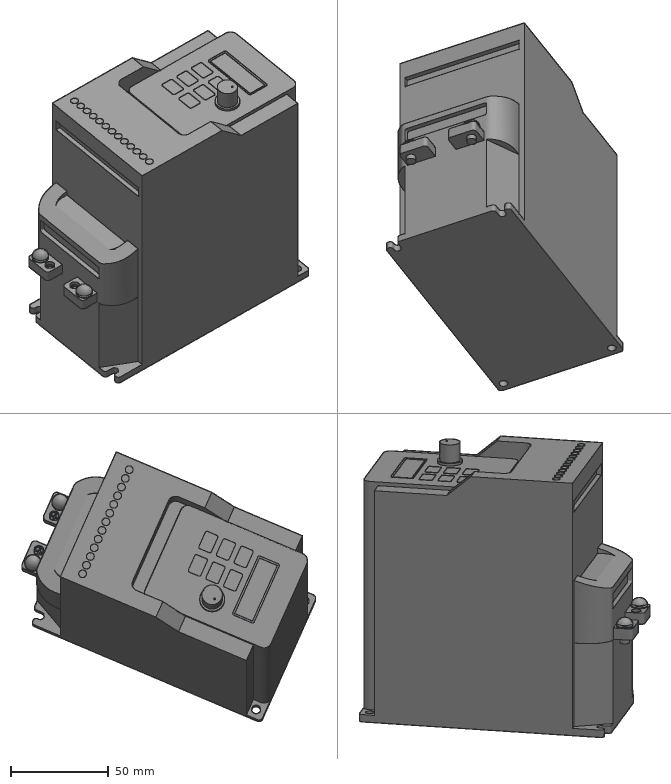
import cadquery as cq
import math


PLATE_WIDTH = 72.0
PLATE_FRONT_Y = -131.0
PLATE_THICKNESS = 4.0
PLATE_REAR_RADIUS = 2.0
PRONG_END_Y = -128.8
PRONG_RADIUS = 1.75
MOUNT_HOLE_DIAMETER = 4.5
MOUNT_HOLE_X = 31.3
MOUNT_HOLE_Y = -4.8
MOUNT_SLOT_WIDTH = 4.0
MOUNT_SLOT_X = 30.3
MOUNT_SLOT_CENTRE_Y = -126.3

BODY_REAR_Y = -8.2
BODY_FRONT_Y = -112.6
BODY_HEIGHT = 136.0
SHOULDER_HEIGHT = 125.0
SLOPE_FOOT_Y = -46.3
SLOPE_CREST_Y = -59.0

PANEL_WIDTH = 54.0
PANEL_LENGTH = 70.8
PANEL_HEIGHT = 127.0
PANEL_RADIUS = 4.0
PANEL_RECESS_LENGTH = 77.6
ENGRAVING_DEPTH = 0.2
DISPLAY_WIDTH = 34.0
DISPLAY_LENGTH = 12.0
DISPLAY_RADIUS = 1.0
DISPLAY_BORDER = 1.0
DISPLAY_Y = -18.5
BUTTON_WIDTH = 10.0
BUTTON_LENGTH = 7.0
BUTTON_RADIUS = 1.0
BUTTON_FIRST = (-13.2, -31.2)
BUTTON_PITCH_X = 13.5
BUTTON_PITCH_Y = 9.9
BUTTON_COLUMNS = 2
BUTTON_ROWS = 3

KNOB_CENTRE = (14.0, -37.0)
KNOB_DIAMETER = 10.5
KNOB_TOP = 138.0
KNOB_FLANGE_DIAMETER = 12.8
KNOB_FLANGE_HEIGHT = 1.3
KNOB_DOT_DIAMETER = 0.83
KNOB_DOT_OFFSET = (1.5, 2.0)
KNOB_DOT_DEPTH = 0.2

VENT_DIAMETER = 4.0
VENT_PITCH = 5.0
VENT_COUNT = 13
VENT_Y = -102.7

SLOT_DEPTH = 2.5
UPPER_SLOT_WIDTH = 66.0
UPPER_SLOT_BOTTOM = 119.5
UPPER_SLOT_HEIGHT = 6.0
LOWER_SLOT_WIDTH = 46.9
LOWER_SLOT_BOTTOM = 65.8
LOWER_SLOT_HEIGHT = 8.0
LOWER_SLOT_RADIUS = 1.0

COVER_HALF_WIDTH = 32.9
COVER_FRONT_HALF_WIDTH = 23.5
COVER_BOTTOM = 49.0
COVER_REAR_TOP = 82.7
COVER_FRONT_TOP = 77.5
COVER_FLANK_END_Y = -115.8
COVER_ARC_START = (32.8, -117.6)
COVER_ARC_END = (28.05, -128.3)
COVER_NOSE_START = (26.7, -129.5)
COVER_NOSE_MIDDLE = (25.2, -130.6)
COVER_RECESS_WIDTH = 48.4
COVER_RECESS_FLOOR = 80.0
COVER_RECESS_RADIUS = 9.4

TERMINAL_X = 14.0
TERMINAL_WIDTH = 16.0
TERMINAL_END_Y = -141.0
TERMINAL_HEIGHT = 6.0
TERMINAL_RADIUS = 2.0
SCREW_X = 17.5
SCREW_Y = (PLATE_FRONT_Y + TERMINAL_END_Y) / 2
SHANK_DIAMETER = 4.99
SHANK_LENGTH = 2.8
WASHER_DIAMETER = 8.5
WASHER_THICKNESS = 0.5
NECK_DIAMETER = 4.25
NECK_LENGTH = 1.1
HEAD_DIAMETER = 8.5
HEAD_HEIGHT = 3.0
CLAMP_HOLE_X = 10.0
CLAMP_HOLE_DIAMETER = 4.99
CLAMP_HOLE_DEPTH = 2.0
CLAMP_BORE_DIAMETER = 4.45
CLAMP_BORE_DEPTH = 3.0
CROSS_LENGTH = 4.0
CROSS_WIDTH = 0.8
CROSS_DEPTH = 2.0

SIDES = (-1, 1)


def block(x_size, y_rear, y_front, z_bottom, z_top, x_centre=0.0):
    """Box centred on x_centre between the given Y and Z limits."""
    return cq.Workplane("XY").box(
        x_size, y_rear - y_front, z_top - z_bottom, centered=(True, False, False)
    ).translate((x_centre, y_front, z_bottom))


def cylinder(diameter, centre, z_bottom, height):
    """Upright cylinder standing at z_bottom."""
    return cq.Workplane("XY").workplane(offset=z_bottom).center(*centre).circle(diameter / 2).extrude(height)


def make_plate():
    """Mounting plate with two rear holes and two open front slots."""
    plate = block(PLATE_WIDTH, 0, PLATE_FRONT_Y, 0, PLATE_THICKNESS)
    plate = plate.edges("|Z and >Y").fillet(PLATE_REAR_RADIUS)
    slot_outer_x = MOUNT_SLOT_X + MOUNT_SLOT_WIDTH / 2
    slot_inner_x = MOUNT_SLOT_X - MOUNT_SLOT_WIDTH / 2
    prong_width = PLATE_WIDTH / 2 - slot_outer_x
    for side in SIDES:
        prong_x = side * (PLATE_WIDTH + 2 * slot_outer_x) / 4
        plate = plate.cut(block(prong_width, PRONG_END_Y, PLATE_FRONT_Y, 0, PLATE_THICKNESS, prong_x))
        slot_x = side * MOUNT_SLOT_X
        slot = block(MOUNT_SLOT_WIDTH, MOUNT_SLOT_CENTRE_Y, PLATE_FRONT_Y, 0, PLATE_THICKNESS, slot_x)
        slot_end = cylinder(MOUNT_SLOT_WIDTH, (slot_x, MOUNT_SLOT_CENTRE_Y), 0, PLATE_THICKNESS)
        hole = cylinder(MOUNT_HOLE_DIAMETER, (side * MOUNT_HOLE_X, MOUNT_HOLE_Y), 0, PLATE_THICKNESS)
        plate = plate.cut(slot).cut(slot_end).cut(hole)
        corners = (
            (side * PLATE_WIDTH / 2, PRONG_END_Y),
            (side * slot_outer_x, PRONG_END_Y),
            (side * slot_inner_x, PLATE_FRONT_Y),
        )
        for x, y in corners:
            edge = cq.selectors.NearestToPointSelector((x, y, PLATE_THICKNESS / 2))
            plate = plate.edges("|Z").edges(edge).fillet(PRONG_RADIUS)
    return plate


def make_body():
    """Main housing: side profile with a low rear shoulder and a ramp up to the top."""
    profile = [
        (BODY_REAR_Y, 0),
        (BODY_REAR_Y, SHOULDER_HEIGHT),
        (SLOPE_FOOT_Y, SHOULDER_HEIGHT),
        (SLOPE_CREST_Y, BODY_HEIGHT),
        (BODY_FRONT_Y, BODY_HEIGHT),
        (BODY_FRONT_Y, 0),
    ]
    return cq.Workplane("YZ").polyline(profile).close().extrude(PLATE_WIDTH / 2, both=True)


def add_panel(body):
    """Sink a recess into the top and stand the control panel block in it."""
    recess = block(PANEL_WIDTH, 0, -PANEL_RECESS_LENGTH, SHOULDER_HEIGHT, BODY_HEIGHT)
    recess = recess.edges("|Z and <Y").fillet(PANEL_RADIUS)
    panel = block(PANEL_WIDTH, 0, -PANEL_LENGTH, 0, PANEL_HEIGHT).edges("|Z").fillet(PANEL_RADIUS)
    return body.cut(recess).union(panel)


def panel_engraving(width, length, x, y, depth, radius=0.0):
    """Shallow rectangular pocket cutter in the panel surface, optionally with round corners."""
    cutter = block(width, y + length / 2, y - length / 2, PANEL_HEIGHT - depth, PANEL_HEIGHT, x)
    if radius > 0:
        cutter = cutter.edges("|Z").fillet(radius)
    return cutter


def engrave_panel(body):
    """Stepped display window and the grid of buttons."""
    body = body.cut(panel_engraving(
        DISPLAY_WIDTH, DISPLAY_LENGTH, 0, DISPLAY_Y, ENGRAVING_DEPTH, DISPLAY_RADIUS))
    body = body.cut(panel_engraving(
        DISPLAY_WIDTH - 2 * DISPLAY_BORDER, DISPLAY_LENGTH - 2 * DISPLAY_BORDER,
        0, DISPLAY_Y, 2 * ENGRAVING_DEPTH))
    for column in range(BUTTON_COLUMNS):
        for row in range(BUTTON_ROWS):
            x = BUTTON_FIRST[0] + column * BUTTON_PITCH_X
            y = BUTTON_FIRST[1] - row * BUTTON_PITCH_Y
            body = body.cut(panel_engraving(
                BUTTON_WIDTH, BUTTON_LENGTH, x, y, ENGRAVING_DEPTH, BUTTON_RADIUS))
    return body


def make_knob():
    """Flanged round knob with a small index dot on its top."""
    flange = cylinder(KNOB_FLANGE_DIAMETER, KNOB_CENTRE, PANEL_HEIGHT, KNOB_FLANGE_HEIGHT)
    knob = cylinder(KNOB_DIAMETER, KNOB_CENTRE, PANEL_HEIGHT, KNOB_TOP - PANEL_HEIGHT)
    dot_centre = (KNOB_CENTRE[0] + KNOB_DOT_OFFSET[0], KNOB_CENTRE[1] + KNOB_DOT_OFFSET[1])
    dot = cylinder(KNOB_DOT_DIAMETER, dot_centre, KNOB_TOP - KNOB_DOT_DEPTH, KNOB_DOT_DEPTH)
    return flange.union(knob).cut(dot)


def cut_vents(body):
    """Row of shallow round marks along the front of the top face."""
    first_x = -VENT_PITCH * (VENT_COUNT - 1) / 2
    for index in range(VENT_COUNT):
        centre = (first_x + index * VENT_PITCH, VENT_Y)
        body = body.cut(cylinder(VENT_DIAMETER, centre, BODY_HEIGHT - ENGRAVING_DEPTH, ENGRAVING_DEPTH))
    return body


def make_compartment():
    """Tapered block under the terminal cover, down to the mounting plate."""
    outline = [
        (-COVER_HALF_WIDTH, BODY_FRONT_Y),
        (-COVER_FRONT_HALF_WIDTH, PLATE_FRONT_Y),
        (COVER_FRONT_HALF_WIDTH, PLATE_FRONT_Y),
        (COVER_HALF_WIDTH, BODY_FRONT_Y),
    ]
    return cq.Workplane("XY").polyline(outline).close().extrude(COVER_BOTTOM)


def make_cover():
    """Round-sided cover with a sloping top and a level recess in it."""
    arc_x, arc_y = COVER_ARC_START
    end_x, end_y = COVER_ARC_END
    nose_x, nose_y = COVER_NOSE_START
    middle_x, middle_y = COVER_NOSE_MIDDLE
    cover = (
        cq.Workplane("XY").workplane(offset=COVER_BOTTOM)
        .moveTo(-COVER_HALF_WIDTH, BODY_FRONT_Y)
        .lineTo(-COVER_HALF_WIDTH, COVER_FLANK_END_Y)
        .lineTo(-arc_x, arc_y)
        .tangentArcPoint((-end_x, end_y), relative=False)
        .lineTo(-nose_x, nose_y)
        .threePointArc((-middle_x, middle_y), (-COVER_FRONT_HALF_WIDTH, PLATE_FRONT_Y))
        .lineTo(0, PLATE_FRONT_Y)
        .lineTo(0, BODY_FRONT_Y)
        .close()
        .extrude(COVER_REAR_TOP - COVER_BOTTOM)
    )
    cover = cover.union(cover.mirror("YZ"))
    above_slope = (
        cq.Workplane("YZ")
        .polyline([
            (BODY_FRONT_Y, COVER_REAR_TOP),
            (PLATE_FRONT_Y, COVER_REAR_TOP),
            (PLATE_FRONT_Y, COVER_FRONT_TOP),
        ])
        .close()
        .extrude(COVER_HALF_WIDTH, both=True)
    )
    recess_length = BODY_FRONT_Y - COVER_FLANK_END_Y + COVER_RECESS_RADIUS
    recess = block(
        COVER_RECESS_WIDTH, BODY_FRONT_Y, BODY_FRONT_Y - recess_length, COVER_RECESS_FLOOR, COVER_REAR_TOP
    ).edges("|Z and <Y").fillet(COVER_RECESS_RADIUS)
    return cover.cut(above_slope).cut(recess)


def front_slot(width, bottom, height, face_y):
    """Horizontal slot cutter reaching into a front face."""
    return block(width, face_y + SLOT_DEPTH, face_y, bottom, bottom + height)


def make_clamp_hole(centre, top):
    """Stepped blind hole cutter with a cross recess in its floor."""
    floor = top - CLAMP_BORE_DEPTH
    hole = cylinder(CLAMP_HOLE_DIAMETER, centre, top - CLAMP_HOLE_DEPTH, CLAMP_HOLE_DEPTH)
    bore = cylinder(CLAMP_BORE_DIAMETER, centre, floor, CLAMP_BORE_DEPTH)
    cross = (
        cq.Workplane("XY").workplane(offset=floor - CROSS_DEPTH).center(*centre)
        .rect(CROSS_LENGTH, CROSS_WIDTH).extrude(CROSS_DEPTH)
    )
    return hole.union(bore).union(cross).union(cross.rotate(centre + (0,), centre + (1,), 90))


def make_terminal(side):
    """Terminal block with a clamp hole and a round-headed screw."""
    top = COVER_BOTTOM + TERMINAL_HEIGHT
    terminal = block(TERMINAL_WIDTH, PLATE_FRONT_Y, TERMINAL_END_Y, COVER_BOTTOM, top, side * TERMINAL_X)
    terminal = terminal.edges("|Z and <Y").fillet(TERMINAL_RADIUS)
    terminal = terminal.cut(make_clamp_hole((side * CLAMP_HOLE_X, SCREW_Y), top))
    screw_centre = (side * SCREW_X, SCREW_Y)
    washer_top = top + WASHER_THICKNESS
    head_base = washer_top + NECK_LENGTH
    shank = cylinder(SHANK_DIAMETER, screw_centre, COVER_BOTTOM - SHANK_LENGTH, SHANK_LENGTH)
    washer = cylinder(WASHER_DIAMETER, screw_centre, top, WASHER_THICKNESS)
    neck = cylinder(NECK_DIAMETER, screw_centre, washer_top, NECK_LENGTH)
    return terminal.union(shank).union(washer).union(neck).union(make_screw_head(screw_centre, head_base))


def make_screw_head(centre, base_z):
    """Domed screw head: a spherical cap with a flat underside."""
    radius = HEAD_DIAMETER / 2
    sphere_radius = (radius ** 2 + HEAD_HEIGHT ** 2) / (2 * HEAD_HEIGHT)
    half_angle = math.asin(radius / sphere_radius) / 2
    drop = HEAD_HEIGHT - sphere_radius
    middle = (sphere_radius * math.sin(half_angle), drop + sphere_radius * math.cos(half_angle))
    dome = (
        cq.Workplane("XZ")
        .moveTo(0, 0)
        .lineTo(radius, 0)
        .threePointArc(middle, (0, HEAD_HEIGHT))
        .close()
        .revolve(360, (0, 0, 0), (0, 1, 0))
    )
    return dome.translate((centre[0], centre[1], base_z))


housing = engrave_panel(add_panel(make_body()))
housing = cut_vents(housing).union(make_plate()).union(make_knob())
housing = housing.union(make_compartment()).union(make_cover())
housing = housing.cut(front_slot(UPPER_SLOT_WIDTH, UPPER_SLOT_BOTTOM, UPPER_SLOT_HEIGHT, BODY_FRONT_Y))
lower_slot = front_slot(LOWER_SLOT_WIDTH, LOWER_SLOT_BOTTOM, LOWER_SLOT_HEIGHT, PLATE_FRONT_Y)
housing = housing.cut(lower_slot.edges("|Y").fillet(LOWER_SLOT_RADIUS))
for terminal_side in SIDES:
    housing = housing.union(make_terminal(terminal_side))
result = housing